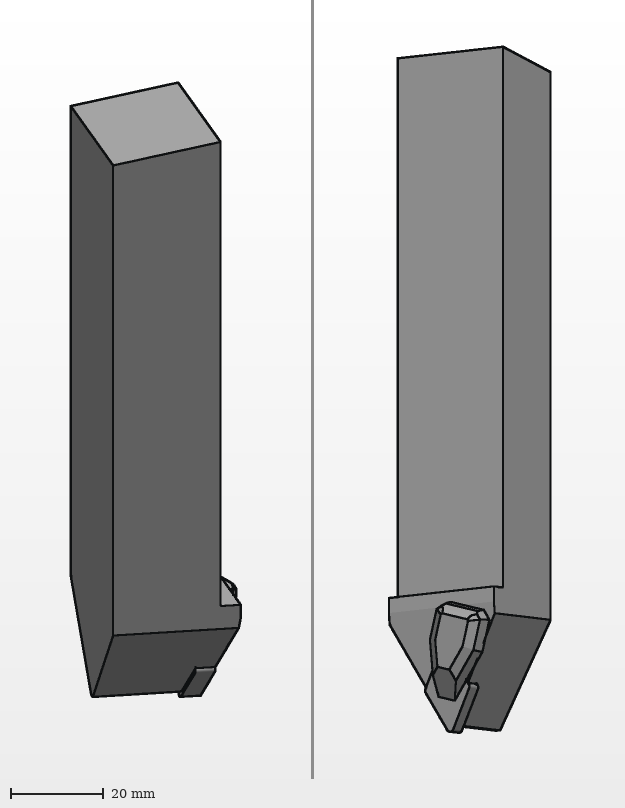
import cadquery as cq
import math

overall_length = 151.4
shank_size = 25.0
head_back = 29.7
head_shoulder_z = 30.9
shoulder_fillet = 0.5
rake_angle = 10.0
head_tip_height = 1.5
head_tip_half_width = 0.5
big = 454.0

insert_angle = 55.0
inscribed_diameter = 9.5
insert_thickness = 4.7
nose_radius = 0.8

clamp_top_x = -6.0
clamp_top_height = 26.8
clamp_angle = 18.0
clamp_length = 20.6
clamp_straight = 9.0
clamp_half_width = 5.9
clamp_corner = 1.8
clamp_tip_half_width = 2.0
clamp_height = 5.1
clamp_draft = 10.0
clamp_edge = 1.7
nose_slope_length = 6.5
upper_bevel_height = 3.3
upper_bevel_length = 2.1

tilt = math.radians(rake_angle)
half_angle = math.radians(insert_angle / 2)
half_size = shank_size / 2

tip_y = shank_size
rake_plane = cq.Plane(
    origin=(0, tip_y, 0),
    xDir=(1, 0, 0),
    normal=(0, -math.cos(tilt), math.sin(tilt)),
)


def head_and_shank():
    """Square bar with a thicker tilted head, pointed by two flanks."""
    shoulder_drop = (head_back - shank_size) * math.tan(tilt)
    rake_top_z = (head_back - tip_y) / math.tan(tilt)
    rake_bottom_z = -shank_size
    rake_bottom_y = tip_y + rake_bottom_z * math.tan(tilt)
    bar = (
        cq.Workplane("YZ", origin=(-half_size, 0, 0))
        .moveTo(0, overall_length)
        .lineTo(shank_size, overall_length)
        .lineTo(shank_size, head_shoulder_z)
        .lineTo(head_back, head_shoulder_z - shoulder_drop)
        .lineTo(head_back, rake_top_z)
        .lineTo(rake_bottom_y, rake_bottom_z)
        .lineTo(0, rake_bottom_z)
        .close()
        .extrude(shank_size)
    )
    shoulder_point = (0, shank_size, head_shoulder_z)
    bar = bar.edges(cq.NearestToPointSelector(shoulder_point)).fillet(shoulder_fillet)

    flank_height = (half_size - head_tip_half_width) / math.tan(half_angle)
    side_height = head_tip_height + flank_height
    wedge = (
        cq.Workplane(rake_plane)
        .moveTo(-head_tip_half_width, head_tip_height)
        .lineTo(head_tip_half_width, head_tip_height)
        .lineTo(half_size, side_height)
        .lineTo(half_size, big)
        .lineTo(-half_size, big)
        .lineTo(-half_size, side_height)
        .close()
        .extrude(big, both=True)
    )
    return bar.intersect(wedge)


def diamond_insert():
    """Straight-sided diamond plate with all four corners rounded."""
    inscribed_radius = inscribed_diameter / 2
    half_long = inscribed_radius / math.sin(half_angle)
    half_short = inscribed_radius / math.cos(half_angle)
    nose_cutback = nose_radius * (1 / math.sin(half_angle) - 1)
    center_height = half_long - nose_cutback
    return (
        cq.Workplane(rake_plane)
        .center(0, center_height)
        .polyline([(0, -half_long), (half_short, 0), (0, half_long), (-half_short, 0)])
        .close()
        .extrude(insert_thickness)
        .edges(cq.ParallelDirSelector(rake_plane.zDir))
        .fillet(nose_radius)
    )


def clamp_finger():
    """Tapered finger standing on the rake face, with a sloping nose."""
    clamp_plane = cq.Plane(
        origin=rake_plane.toWorldCoords((clamp_top_x, clamp_top_height, 0)),
        xDir=rake_plane.xDir,
        normal=-rake_plane.zDir,
    ).rotated((0, 0, -clamp_angle))
    outline = [
        (-clamp_half_width + clamp_corner, 0),
        (clamp_half_width - clamp_corner, 0),
        (clamp_half_width, clamp_corner),
        (clamp_half_width, clamp_straight),
        (clamp_tip_half_width, clamp_length),
        (-clamp_tip_half_width, clamp_length),
        (-clamp_half_width, clamp_straight),
        (-clamp_half_width, clamp_corner),
    ]
    finger = (
        cq.Workplane(clamp_plane)
        .polyline(outline)
        .close()
        .extrude(clamp_height, taper=clamp_draft)
        .faces(cq.DirectionMinMaxSelector(clamp_plane.zDir))
        .edges()
        .chamfer(clamp_edge)
    )
    length_profile_plane = cq.Plane(
        origin=clamp_plane.origin, xDir=clamp_plane.yDir, normal=clamp_plane.xDir
    )
    length_profile = (
        cq.Workplane(length_profile_plane)
        .polyline([
            (0, 0),
            (0, clamp_height - upper_bevel_height),
            (upper_bevel_length, clamp_height),
            (clamp_length - nose_slope_length, clamp_height),
            (clamp_length, 0),
        ])
        .close()
        .extrude(clamp_half_width, both=True)
    )
    return finger.intersect(length_profile)


clamp = clamp_finger()
insert = diamond_insert()
holder = head_and_shank().union(clamp).cut(insert)

result = cq.Compound.makeCompound([holder.val(), insert.val()])